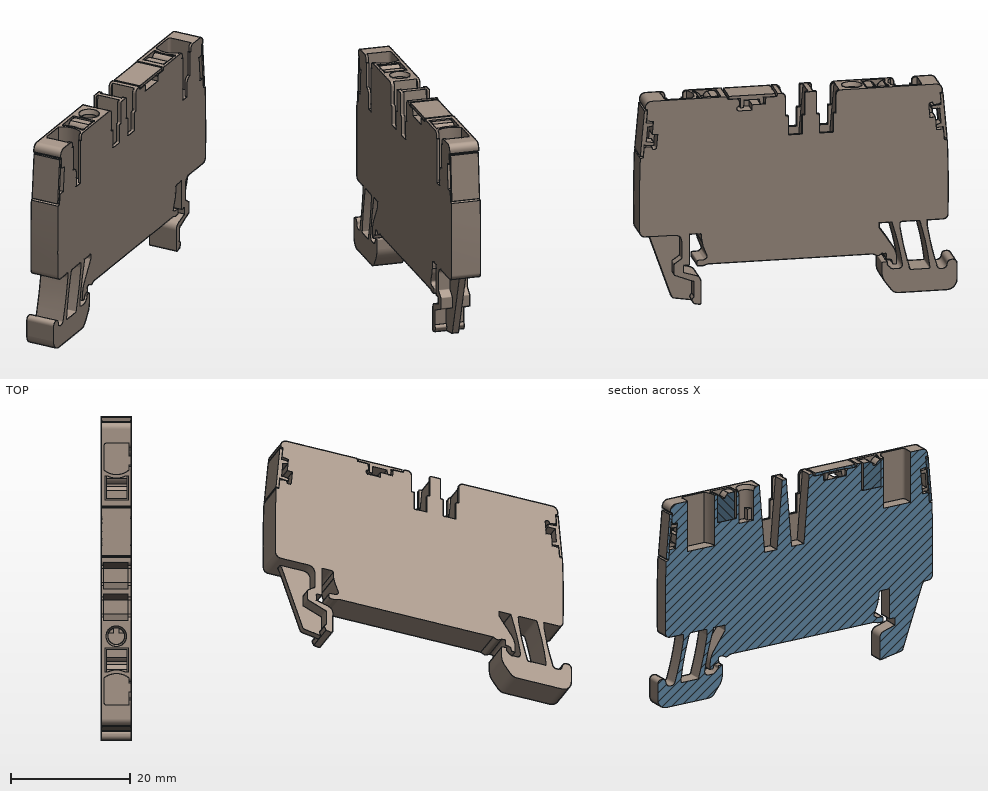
import cadquery as cq
import math

WIDTH = 5.1
TOP_Z = 36.2
HALF_LENGTH = 26.38
BLOCK_BOTTOM_Z = 12.45
RAIL_FACE_Z = 7.05
FOOT_TIP_Y = -27.86
MID_X = WIDTH / 2
OVERCUT = 1.0

SLOPE = math.radians(5.1)
WIDEST_Z = 18.0
END_ARC_RADIUS = 225.0
SLOPE_START_Z = 26.4
BOTTOM_CORNER = 0.9
SHOULDER_Z = 34.7
SHOULDER_Y = 25.37
TOP_CORNER = 1.1

SLOTS = ((-0.25, 1), (-5.55, -1))
SLOT_UPPER_WIDTH = 3.35
SLOT_LOWER_WIDTH = 2.35
SLOT_STEP_Z = 32.2
SLOT_FLOOR_Z = 28.85
POCKET_TOP_WIDTH = 4.43
SLOT_STEP_ROUND = 0.15
SLOT_POST_ROUND = 0.2
SLOT_OUTER_ROUND = 0.75
POCKET_FLOOR_Z = 24.0
POCKET_X = (0.45, 4.5)

PLATE_LENGTH = 7.95
PLATE_THICKNESS = 0.5
PLATE_GAP = 0.12
SEAT_FLOOR_LENGTH = 8.3
SEAT_MOUTH_LENGTH = 8.65
PLATE_PAD_DEPTH = 0.8
LATCH_DEPTH = 1.68
HOOK_LEG_DEPTH = 2.13
HOOK_POCKET_DEPTH = 2.62
LATCH_LEG_END_X = 2.4
HOOK_POCKET_END_X = 2.5
TOP_MARKER_Y = 7.09

FUNNEL_X = (0.49, 4.68)
FUNNEL_OUTER_Y = 21.95
FUNNEL_ARC_Y = 17.4
FUNNEL_APEX_Y = 16.65
FUNNEL_DEPTH = 9.0
FUNNEL_CORNER = 0.5
OPENING_STEP_DEPTH = 1.2
OPENING_NECK_DEPTH = 5.5

LEVER_WELL_X = (0.66, 4.62)
LEVER_WELL_Y = (12.4, 16.4)
LEVER_WALL = 0.6
LEVER_CLEARANCE = 0.25
LEVER_DEPTH = 5.0
LEVER_TOP_Z = TOP_Z - 0.15
LEVER_FLAT_END_Y = 13.95
LEVER_GROOVE_Y = (14.65, 15.1)
LEVER_CREST_Y = 16.0
LEVER_GROOVE_DEPTH = 0.8
LEVER_BULGE = 0.7

SCREW_Y = -10.4
SCREW_RIM_RADIUS = 1.72
SCREW_HOLE_RADIUS = 1.4
SCREW_RIM_DEPTH = 0.8
SCREW_HOLE_DEPTH = 6.0
SCREW_LEDGE_DEPTH = 4.0
SCREW_LEDGE_X = 0.45
SCREW_LEDGE_Y = 0.5

ARM_RADIUS = 45.0

WEB_THICKNESS = 1.1


def rounded_outline(corners, x):
    """Closed wire at the given X through (y, z, radius) corners; each radius becomes a tangent arc."""
    legs = []
    count = len(corners)
    for i in range(count):
        here = cq.Vector(*corners[i][:2])
        radius = corners[i][2]
        to_last = (cq.Vector(*corners[i - 1][:2]) - here).normalized()
        to_next = (cq.Vector(*corners[(i + 1) % count][:2]) - here).normalized()
        if radius == 0:
            legs.append((here, None, here))
            continue
        half_angle = to_last.getAngle(to_next) / 2
        setback = radius / math.tan(half_angle)
        bisector = (to_last + to_next).normalized()
        middle = here + bisector * (radius / math.sin(half_angle) - radius)
        legs.append((here + to_last * setback, middle, here + to_next * setback))
    path = cq.Workplane("YZ", origin=(x, 0, 0)).moveTo(*legs[0][2].toTuple()[:2])
    for start, middle, end in legs[1:] + legs[:1]:
        path = path.lineTo(*start.toTuple()[:2])
        if middle is not None:
            path = path.threePointArc(middle.toTuple()[:2], end.toTuple()[:2])
    return path.wire()


def prism(corners, x_start=0.0, x_end=WIDTH):
    """Extrude a rounded (y, z, radius) outline along X."""
    return rounded_outline(corners, x_start).extrude(x_end - x_start)


def box(x_range, y_range, z_range):
    """Axis-aligned box from three (low, high) ranges."""
    low, high = zip(*(sorted(r) for r in (x_range, y_range, z_range)))
    size = [b - a for a, b in zip(low, high)]
    return cq.Workplane("XY").box(*size, centered=False).translate(low)


def end_arc_y(z):
    """Y of the shallow end arc at height z."""
    rise = z - WIDEST_Z
    return HALF_LENGTH - END_ARC_RADIUS + math.sqrt(END_ARC_RADIUS**2 - rise**2)


def end_slope_y(z):
    """Y of the straight end slope at height z."""
    return end_arc_y(SLOPE_START_Z) - (z - SLOPE_START_Z) * math.tan(SLOPE)


def main_block():
    arc_low_z = BLOCK_BOTTOM_Z + BOTTOM_CORNER
    arc_low_y = end_arc_y(arc_low_z)
    half = (
        cq.Workplane("YZ")
        .moveTo(0, BLOCK_BOTTOM_Z)
        .lineTo(arc_low_y - BOTTOM_CORNER, BLOCK_BOTTOM_Z)
        .radiusArc((arc_low_y, arc_low_z), -BOTTOM_CORNER)
        .threePointArc((HALF_LENGTH, WIDEST_Z), (end_arc_y(SLOPE_START_Z), SLOPE_START_Z))
        .lineTo(end_slope_y(SHOULDER_Z), SHOULDER_Z)
        .lineTo(SHOULDER_Y, SHOULDER_Z)
        .lineTo(SHOULDER_Y, TOP_Z - TOP_CORNER)
        .radiusArc((SHOULDER_Y - TOP_CORNER, TOP_Z), -TOP_CORNER)
        .lineTo(0, TOP_Z)
        .close()
        .extrude(WIDTH)
    )
    return half.union(half.mirror("XZ"))


def fixed_foot_and_body():
    """Rigid rail foot at +Y together with the body that hangs between the feet."""
    root_z = BLOCK_BOTTOM_Z + OVERCUT
    foot = prism([
        (20.45, root_z, 0),
        (20.45, BLOCK_BOTTOM_Z, 0),
        (19.15, BLOCK_BOTTOM_Z, 1.2),
        (19.15, 8.3, 0.2),
        (20.45, 7.4, 0.2),
        (20.45, 5.45, 0.2),
        (17.05, 4.1, 0.2),
        (17.05, 1.5, 0),
        (17.45, 1.0, 0.3),
        (17.1, 0.25, 0),
        (15.85, 0, 0.3),
        (15.85, 4.9, 1.2),
        (18.85, 5.8, 0),
        (18.85, RAIL_FACE_Z, 0.2),
        (17.8, RAIL_FACE_Z, 0.15),
        (17.8, root_z, 0),
    ])
    body = prism([
        (15.8, root_z, 0),
        (15.75, 11.5, 0),
        (15.5, 10.2, 0),
        (14.75, 8.3, 0.35),
        (15.3, 7.85, 0.3),
        (16.55, 7.8, 0.25),
        (16.55, 6.8, 0.25),
        (15.55, 6.8, 0.3),
        (14.7, RAIL_FACE_Z, 0),
        (-13.5, RAIL_FACE_Z, 0),
        (-14.3, 6.65, 0.5),
        (-15.1, RAIL_FACE_Z, 0),
        (-15.8, RAIL_FACE_Z, 0.2),
        (-15.75, 6.05, 0.2),
        (-16.7, 5.85, 0.3),
        (-16.9, 5.1, 0.1),
        (-17.55, 5.1, 0),
        (-17.55, 7.3, 4.0),
        (-14.6, 11.55, 0.2),
        (-14.6, root_z, 0),
    ])
    groove_roof = prism([
        (17.85, root_z, 0),
        (17.85, BLOCK_BOTTOM_Z, 0.2),
        (15.7, BLOCK_BOTTOM_Z, 0.5),
        (15.7, 11.0, 0),
        (15.0, 11.0, 0),
        (15.0, root_z, 0),
    ])
    return foot.union(body).union(groove_roof)


def support_web():
    """Thin central web bracing the fixed foot."""
    return prism([
        (24.9, BLOCK_BOTTOM_Z + OVERCUT / 2, 0),
        (24.3, BLOCK_BOTTOM_Z - 0.5, 0),
        (20.4, 0.85, 0.5),
        (16.8, 0.25, 0),
        (16.8, 4.6, 0),
        (19.6, 5.7, 0),
        (19.6, 7.6, 0),
        (18.5, 8.3, 0),
        (18.5, BLOCK_BOTTOM_Z + OVERCUT / 2, 0),
    ], MID_X - WEB_THICKNESS / 2, MID_X + WEB_THICKNESS / 2)


def spring_foot():
    """Flexible rail foot at -Y: two slender arms carrying a hooked toe."""
    root_z = BLOCK_BOTTOM_Z + OVERCUT
    outer = prism([
        (-16.6, root_z, 0),
        (-16.75, BLOCK_BOTTOM_Z, 0.6),
        (-18.05, 8.0, ARM_RADIUS),
        (-18.65, 4.25, 0.7),
        (-16.7, 4.25, 0.7),
        (-15.95, 5.0, 0.3),
        (-15.95, 5.55, 0.1),
        (-15.05, 5.5, 0.1),
        (-15.05, 2.7, 3.0),
        (-17.1, 0, 1.5),
        (FOOT_TIP_Y, 0, 1.8),
        (FOOT_TIP_Y, 5.3, 0.75),
        (-26.25, 5.3, 0.75),
        (-26.1, 3.8, 0.8),
        (-24.6, 3.8, 0.6),
        (-23.4, 8.0, ARM_RADIUS),
        (-22.8, 11.5, 0),
        (-22.8, BLOCK_BOTTOM_Z, 0.2),
        (-23.1, root_z, 0),
    ])
    window = prism([
        (-18.15, BLOCK_BOTTOM_Z, 0.25),
        (-18.15, 11.4, 0.5),
        (-18.75, 8.0, ARM_RADIUS),
        (-19.85, 3.95, 0.15),
        (-23.25, 3.95, 0.2),
        (-22.75, 7.9, ARM_RADIUS),
        (-21.5, BLOCK_BOTTOM_Z, 0.4),
    ])
    return outer.cut(window)


def jumper_slot(centre_y, outward):
    """Stepped slot through the thickness, with a deeper tapered pocket between the side walls.

    outward is the Y direction (+1 or -1) that leads away from the post between the slots."""
    upper = SLOT_UPPER_WIDTH / 2
    lower = SLOT_LOWER_WIDTH / 2
    pocket_top = POCKET_TOP_WIDTH / 2
    mouth = upper + OVERCUT
    above_z = TOP_Z + OVERCUT
    profile = [
        (-mouth, above_z, 0),
        (-mouth, TOP_Z, 0),
        (-upper, TOP_Z, SLOT_POST_ROUND),
        (-upper, SLOT_STEP_Z, SLOT_STEP_ROUND),
        (-lower, SLOT_STEP_Z, SLOT_STEP_ROUND),
        (-lower, SLOT_FLOOR_Z, SLOT_STEP_ROUND),
        (lower, SLOT_FLOOR_Z, SLOT_STEP_ROUND),
        (lower, SLOT_STEP_Z, SLOT_STEP_ROUND),
        (upper, SLOT_STEP_Z, SLOT_STEP_ROUND),
        (upper, TOP_Z, SLOT_OUTER_ROUND),
        (mouth, TOP_Z, 0),
        (mouth, above_z, 0),
    ]
    through = prism([(centre_y + outward * y, z, radius) for y, z, radius in profile])
    pocket = prism([
        (centre_y - pocket_top, TOP_Z, 0),
        (centre_y - lower, POCKET_FLOOR_Z, 0),
        (centre_y + lower, POCKET_FLOOR_Z, 0),
        (centre_y + pocket_top, TOP_Z, 0),
    ], *POCKET_X)
    return through.union(pocket)


def funnel_well(arc_shift=0.0):
    """Plan of a wire entry: squared outer end, arched inner end.

    A positive arc_shift moves the arched end along Y towards the lever."""
    arc_y = FUNNEL_ARC_Y - arc_shift
    mid_x = (FUNNEL_X[0] + FUNNEL_X[1]) / 2
    return (
        cq.Workplane("XY", origin=(0, 0, TOP_Z - FUNNEL_DEPTH))
        .moveTo(FUNNEL_X[1], FUNNEL_OUTER_Y)
        .lineTo(FUNNEL_X[0] + FUNNEL_CORNER, FUNNEL_OUTER_Y)
        .radiusArc((FUNNEL_X[0], FUNNEL_OUTER_Y - FUNNEL_CORNER), -FUNNEL_CORNER)
        .lineTo(FUNNEL_X[0], arc_y)
        .threePointArc((mid_x, FUNNEL_APEX_Y - arc_shift), (FUNNEL_X[1], arc_y))
        .close()
        .extrude(FUNNEL_DEPTH + OVERCUT)
    )


def wire_funnel():
    """Wire entry well with a stepped, round-shouldered opening in the +X wall."""
    above_z = TOP_Z + OVERCUT
    step_z = TOP_Z - OPENING_STEP_DEPTH
    neck_z = TOP_Z - OPENING_NECK_DEPTH
    floor_z = TOP_Z - FUNNEL_DEPTH
    opening = prism([
        (22.0, above_z, 0),
        (22.0, TOP_Z, 0),
        (21.1, TOP_Z, 0.65),
        (21.1, step_z, 0),
        (20.75, step_z, 0),
        (20.75, neck_z, 0),
        (19.75, neck_z, 0.95),
        (19.75, floor_z, 0),
        (18.25, floor_z, 0),
        (18.25, step_z, 0),
        (18.0, step_z, 0),
        (18.0, TOP_Z, 0.6),
        (17.0, TOP_Z, 0),
        (17.0, above_z, 0),
    ], FUNNEL_X[1], WIDTH)
    return funnel_well().union(opening)


def lever_well():
    """Rectangular well for a lever, bounded by the arched wall of the funnel."""
    well = box(LEVER_WELL_X, LEVER_WELL_Y, (TOP_Z - LEVER_DEPTH, TOP_Z + OVERCUT))
    return well.cut(funnel_well(LEVER_WALL))


def screw_hole():
    """Round hole with a conical rim; two corner ledges stand in its lower part."""
    hole = (
        cq.Workplane("XY", origin=(MID_X, SCREW_Y, TOP_Z))
        .circle(SCREW_HOLE_RADIUS)
        .extrude(-SCREW_HOLE_DEPTH)
    )
    ledge_z = (TOP_Z - SCREW_HOLE_DEPTH, TOP_Z - SCREW_LEDGE_DEPTH)
    ledge_y = (SCREW_Y + SCREW_LEDGE_Y, SCREW_Y + SCREW_RIM_RADIUS)
    for side in (-1, 1):
        ledge_x = (MID_X + side * SCREW_LEDGE_X, MID_X + side * SCREW_RIM_RADIUS)
        hole = hole.cut(box(ledge_x, ledge_y, ledge_z))
    rim = (
        cq.Workplane("XY", origin=(MID_X, SCREW_Y, TOP_Z))
        .circle(SCREW_RIM_RADIUS)
        .workplane(offset=-SCREW_RIM_DEPTH)
        .circle(SCREW_HOLE_RADIUS)
        .loft(combine=True)
    )
    return hole.union(rim)


def marker():
    half = PLATE_LENGTH / 2
    plate_x = (PLATE_GAP, WIDTH - PLATE_GAP)
    leg_x = (PLATE_GAP, LATCH_LEG_END_X)
    plate = box(plate_x, (-half, half), (-PLATE_THICKNESS, 0))
    pad = box(leg_x, (-1.9, 2.0), (-PLATE_PAD_DEPTH, -PLATE_THICKNESS))
    hook_leg = prism([
        (2.02, -PLATE_THICKNESS, 0),
        (2.02, -HOOK_LEG_DEPTH, 0),
        (1.5, -HOOK_LEG_DEPTH, 0),
        (1.35, -PLATE_THICKNESS, 0),
    ], *leg_x)
    plain_leg = prism([
        (-1.9, -PLATE_THICKNESS, 0),
        (-1.9, -LATCH_DEPTH, 0),
        (-1.4, -LATCH_DEPTH, 0),
        (-1.1, -PLATE_THICKNESS, 0),
    ], *leg_x)
    return plate.union(pad).union(hook_leg).union(plain_leg)


def marker_seat():
    floor = SEAT_FLOOR_LENGTH / 2
    mouth = SEAT_MOUTH_LENGTH / 2
    recess = prism([
        (-floor, -PLATE_THICKNESS, 0),
        (floor, -PLATE_THICKNESS, 0),
        (mouth, 0, 0),
        (mouth, OVERCUT, 0),
        (-mouth, OVERCUT, 0),
        (-mouth, 0, 0),
    ])
    window = prism([
        (2.5, -PLATE_THICKNESS, 0),
        (2.25, -LATCH_DEPTH / 2, 0),
        (2.2, -LATCH_DEPTH, 0),
        (-2.2, -LATCH_DEPTH, 0),
        (-2.3, -PLATE_THICKNESS, 0),
    ])
    hook_pocket = prism([
        (0.05, -LATCH_DEPTH + 0.1, 0),
        (0.05, -HOOK_POCKET_DEPTH, 0),
        (2.65, -HOOK_POCKET_DEPTH, 0.4),
        (2.65, -1.95, 0.2),
        (2.2, -1.8, 0),
        (2.2, -LATCH_DEPTH + 0.1, 0),
    ], 0, HOOK_POCKET_END_X)
    return recess.union(window).union(hook_pocket)


def seat_places(shape):
    """Copies of a shape at the three marker seats: top, +Y end and -Y end."""
    centre_z = SHOULDER_Z - SEAT_FLOOR_LENGTH / 2 * math.cos(SLOPE)
    end_y = end_slope_y(centre_z)
    tilt = 90 - math.degrees(SLOPE)
    axis = ((0, 0, 0), (1, 0, 0))
    return [
        shape.translate((0, TOP_MARKER_Y, TOP_Z)),
        shape.rotate(*axis, -tilt).translate((0, end_y, centre_z)),
        shape.rotate(*axis, tilt).translate((0, -end_y, centre_z)),
    ]


def lever():
    y_start = LEVER_WELL_Y[0] + LEVER_CLEARANCE
    y_end = LEVER_WELL_Y[1]
    floor_z = TOP_Z - LEVER_DEPTH
    groove_z = LEVER_TOP_Z - LEVER_GROOVE_DEPTH
    bulge_z = groove_z + LEVER_GROOVE_DEPTH * LEVER_BULGE
    fall_middle_y = (LEVER_FLAT_END_Y + LEVER_GROOVE_Y[0]) / 2
    rise_middle_y = (LEVER_CREST_Y + LEVER_GROOVE_Y[1]) / 2
    x_start = LEVER_WELL_X[0] + LEVER_CLEARANCE
    x_end = LEVER_WELL_X[1] - LEVER_CLEARANCE
    blank = (
        cq.Workplane("YZ", origin=(x_start, 0, 0))
        .moveTo(y_start, floor_z)
        .lineTo(y_start, LEVER_TOP_Z)
        .lineTo(LEVER_FLAT_END_Y, LEVER_TOP_Z)
        .threePointArc((fall_middle_y, bulge_z), (LEVER_GROOVE_Y[0], groove_z))
        .lineTo(LEVER_GROOVE_Y[1], groove_z)
        .threePointArc((rise_middle_y, bulge_z), (LEVER_CREST_Y, LEVER_TOP_Z))
        .lineTo(y_end, LEVER_TOP_Z)
        .lineTo(y_end, floor_z)
        .close()
        .extrude(x_end - x_start)
    )
    return blank.cut(funnel_well(LEVER_WALL))


def housing_body():
    body = main_block()
    for portion in (fixed_foot_and_body(), support_web(), spring_foot()):
        body = body.union(portion)
    for centre_y, outward in SLOTS:
        body = body.cut(jumper_slot(centre_y, outward))
    for cutter in (wire_funnel(), lever_well()):
        body = body.cut(cutter).cut(cutter.mirror("XZ"))
    for seat in seat_places(marker_seat()):
        body = body.cut(seat)
    return body.cut(screw_hole())


housing = housing_body()
markers = seat_places(marker())
levers = [lever(), lever().mirror("XZ")]

result = cq.Compound.makeCompound(
    [housing.val()] + [plate.val() for plate in markers] + [arm.val() for arm in levers]
)